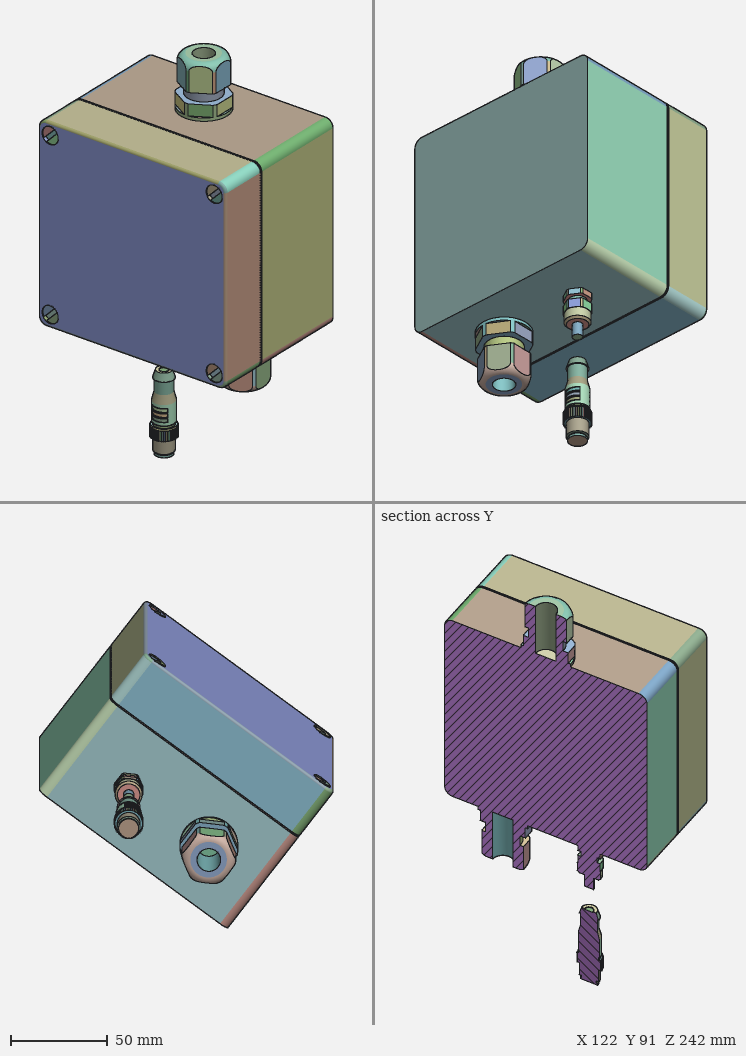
import cadquery as cq
import math


OVERALL_HEIGHT = 242.0
HALF_HEXAGON_ANGLE = 30

BOX_WIDTH = 122.0
BOX_DEPTH = 91.0
BOX_HEIGHT = 120.0
CORNER_RADIUS = 5.0
FRONT_EDGE_RADIUS = 1.5
COVER_DEPTH = 30.0
SEAM_WIDTH = 0.7
SEAM_DEPTH = 0.5

SCREW_SPACING_X = 106.5
SCREW_SPACING_Z = 104.5
SCREW_DIAMETER = 10.5
SCREW_RECESS = 0.7
SLOT_WIDTH = 2.5
SLOT_DEPTH = 1.7
SLOT_ANGLE = 45

FITTING_FROM_BACK = 30.0
FITTING_Y = BOX_DEPTH / 2 - FITTING_FROM_BACK
FITTING_OFFSET_X = 26.0

FLANGE_DIAMETER = 30.0
FLANGE_TOP = 2.0
COLLAR_FLATS = 27.0
COLLAR_TOP = 9.0
NECK_DIAMETER = 21.0
NECK_TOP = 15.0
NUT_FLATS = 25.2
NUT_CORNERS = 28.0
NUT_ROUNDING = 4.5
GLAND_LENGTH = 32.0
GLAND_BORE = 12.0

SOCKET_FLATS = 13.5
SOCKET_CORNERS = 15.0
SOCKET_BASE_TOP = 3.5
SOCKET_NECK_DIAMETER = 10.0
SOCKET_NECK_TOP = 6.3
SOCKET_NUT_TOP = 11.5
SOCKET_CAP_DIAMETER = 14.0
SOCKET_CAP_TOP = 18.2
SOCKET_CAP_CHAMFER = 1.2
STEM_DIAMETER = 5.5
SOCKET_LENGTH = 26.0

PLUG_LENGTH = 49.1
PLUG_BOTTOM = BOX_HEIGHT / 2 + GLAND_LENGTH - OVERALL_HEIGHT
TIP_DIAMETER = 10.5
TIP_TOP = 1.5
TIP_GROOVE_DIAMETER = 9.0
TIP_GROOVE_TOP = 2.5
SLEEVE_DIAMETER = 11.9
SLEEVE_TOP = 10.6
RING_DIAMETER = 15.0
RING_TOP = 16.7
SHOULDER_DIAMETER = 14.0
SHOULDER_TOP = 17.7
WAIST_DIAMETER = 12.0
GRIP_BOTTOM = 19.0
GRIP_DIAMETER = 13.0
GRIP_TOP = 31.5
TAIL_BOTTOM = 36.5
TAIL_DIAMETER = 10.5
BARB_BOTTOM = 44.5
BARB_DIAMETER = 11.9
BARB_END_DIAMETER = 9.0
PLUG_BORE = 5.0
PLUG_BORE_DEPTH = 0.5

KNURL_COUNT = 50
KNURL_DIAMETER = 0.8
WINDOW_COUNT = 3
WINDOW_HEIGHT = 2.2
WINDOW_PITCH = 3.0
WINDOW_DEPTH = 0.5
WINDOW_HALF_ANGLE = 55
FIRST_WINDOW_BOTTOM = 21.3


def cylinder(diameter, bottom, top):
    return cq.Workplane("XY").workplane(offset=bottom).circle(diameter / 2).extrude(top - bottom)


def trimmed_hexagon(flats, corners, bottom, top, rounding=0):
    """Hexagon with corners on +Y and -Y, trimmed by a cylinder that may be rounded at its top edge."""
    full_corners = flats / math.cos(math.radians(HALF_HEXAGON_ANGLE))
    hexagon = (
        cq.Workplane("XY")
        .workplane(offset=bottom)
        .transformed(rotate=(0, 0, HALF_HEXAGON_ANGLE))
        .polygon(6, full_corners)
        .extrude(top - bottom)
    )
    trim = cylinder(corners, bottom, top)
    if rounding:
        trim = trim.faces(">Z").edges().fillet(rounding)
    return hexagon.intersect(trim)


def make_box():
    box = cq.Workplane("XY").box(BOX_WIDTH, BOX_DEPTH, BOX_HEIGHT)
    box = box.edges("|Y").fillet(CORNER_RADIUS)
    return box.faces("<Y").edges().fillet(FRONT_EDGE_RADIUS)


def make_seam():
    """Shallow band that is cut around the housing between base and cover."""
    band = (
        cq.Workplane("XY")
        .box(BOX_WIDTH, SEAM_WIDTH, BOX_HEIGHT)
        .edges("|Y")
        .fillet(CORNER_RADIUS)
    )
    core = (
        cq.Workplane("XY")
        .box(BOX_WIDTH - 2 * SEAM_DEPTH, SEAM_WIDTH, BOX_HEIGHT - 2 * SEAM_DEPTH)
        .edges("|Y")
        .fillet(CORNER_RADIUS - SEAM_DEPTH)
    )
    return band.cut(core).translate((0, COVER_DEPTH - BOX_DEPTH / 2, 0))


def make_screw_recess():
    """Round recess down to a screw head, with the driver slot in that head, along +Y from Y = 0."""
    recess = cq.Workplane("XZ").circle(SCREW_DIAMETER / 2).extrude(-SCREW_RECESS)
    disc = cq.Workplane("XZ").circle(SCREW_DIAMETER / 2).extrude(-SCREW_RECESS - SLOT_DEPTH)
    slot = (
        cq.Workplane("XZ")
        .transformed(rotate=(0, 0, SLOT_ANGLE))
        .rect(2 * SCREW_DIAMETER, SLOT_WIDTH)
        .extrude(-SCREW_RECESS - SLOT_DEPTH)
    )
    return recess.union(disc.intersect(slot))


def make_gland():
    """Cable gland that stands on Z = 0 and points along +Z."""
    flange = cylinder(FLANGE_DIAMETER, 0, FLANGE_TOP)
    collar = trimmed_hexagon(COLLAR_FLATS, FLANGE_DIAMETER, FLANGE_TOP, COLLAR_TOP)
    neck = cylinder(NECK_DIAMETER, COLLAR_TOP, NECK_TOP)
    nut = trimmed_hexagon(NUT_FLATS, NUT_CORNERS, NECK_TOP, GLAND_LENGTH, NUT_ROUNDING)
    bore = cylinder(GLAND_BORE, 0, GLAND_LENGTH)
    return flange.union(collar).union(neck).union(nut).cut(bore)


def make_socket():
    """Small socket that stands on Z = 0 and points along +Z."""
    base = trimmed_hexagon(SOCKET_FLATS, SOCKET_CORNERS, 0, SOCKET_BASE_TOP)
    neck = cylinder(SOCKET_NECK_DIAMETER, SOCKET_BASE_TOP, SOCKET_NECK_TOP)
    nut = trimmed_hexagon(SOCKET_FLATS, SOCKET_CORNERS, SOCKET_NECK_TOP, SOCKET_NUT_TOP)
    cap = cylinder(SOCKET_CAP_DIAMETER, SOCKET_NUT_TOP, SOCKET_CAP_TOP)
    cap = cap.faces(">Z").edges().chamfer(SOCKET_CAP_CHAMFER)
    stem = cylinder(STEM_DIAMETER, SOCKET_CAP_TOP, SOCKET_LENGTH)
    return base.union(neck).union(nut).union(cap).union(stem)


def point_down(fitting):
    return fitting.rotate((0, 0, 0), (1, 0, 0), 180)


def make_housing():
    """Closed housing in one piece with its two glands and its socket."""
    housing = make_box().cut(make_seam())
    recess = make_screw_recess()
    for side_x in (-1, 1):
        for side_z in (-1, 1):
            screw_place = (side_x * SCREW_SPACING_X / 2, -BOX_DEPTH / 2, side_z * SCREW_SPACING_Z / 2)
            housing = housing.cut(recess.translate(screw_place))
    wall_z = BOX_HEIGHT / 2
    gland = make_gland()
    housing = housing.union(gland.translate((0, FITTING_Y, wall_z)))
    housing = housing.union(point_down(gland).translate((FITTING_OFFSET_X, FITTING_Y, -wall_z)))
    return housing.union(point_down(make_socket()).translate((-FITTING_OFFSET_X, FITTING_Y, -wall_z)))


def make_plug_core():
    """Turned shape of the plug, given as radius and height along its axis."""
    profile = [
        (0, 0),
        (TIP_DIAMETER / 2, 0),
        (TIP_DIAMETER / 2, TIP_TOP),
        (TIP_GROOVE_DIAMETER / 2, TIP_TOP),
        (TIP_GROOVE_DIAMETER / 2, TIP_GROOVE_TOP),
        (SLEEVE_DIAMETER / 2, TIP_GROOVE_TOP),
        (SLEEVE_DIAMETER / 2, SLEEVE_TOP),
        (RING_DIAMETER / 2, SLEEVE_TOP),
        (RING_DIAMETER / 2, RING_TOP),
        (SHOULDER_DIAMETER / 2, SHOULDER_TOP),
        (WAIST_DIAMETER / 2, SHOULDER_TOP),
        (WAIST_DIAMETER / 2, GRIP_BOTTOM),
        (GRIP_DIAMETER / 2, GRIP_BOTTOM),
        (GRIP_DIAMETER / 2, GRIP_TOP),
        (TAIL_DIAMETER / 2, TAIL_BOTTOM),
        (TAIL_DIAMETER / 2, BARB_BOTTOM),
        (BARB_DIAMETER / 2, BARB_BOTTOM),
        (BARB_END_DIAMETER / 2, PLUG_LENGTH),
        (0, PLUG_LENGTH),
    ]
    return cq.Workplane("XZ").polyline(profile).close().revolve(360, (0, 0, 0), (0, 1, 0))


def make_knurl():
    """Fine round grooves along the grip ring."""
    return (
        cq.Workplane("XY")
        .workplane(offset=SLEEVE_TOP)
        .polarArray(RING_DIAMETER / 2, 0, 360, KNURL_COUNT)
        .circle(KNURL_DIAMETER / 2)
        .extrude(RING_TOP - SLEEVE_TOP)
    )


def make_window():
    """Shallow curved window on the -Y side of the grip, standing on Z = 0."""
    outer = GRIP_DIAMETER / 2
    inner = outer - WINDOW_DEPTH
    section = (
        cq.Workplane("XZ")
        .moveTo(inner, 0)
        .lineTo(outer, 0)
        .lineTo(outer, WINDOW_HEIGHT)
        .lineTo(inner, WINDOW_HEIGHT)
        .close()
    )
    window = section.revolve(2 * WINDOW_HALF_ANGLE, (0, 0, 0), (0, 1, 0))
    middle = window.val().Center()
    middle_angle = math.degrees(math.atan2(middle.y, middle.x))
    return window.rotate((0, 0, 0), (0, 0, 1), -90 - middle_angle)


def make_plug():
    plug = make_plug_core().cut(make_knurl())
    plug = plug.cut(cylinder(PLUG_BORE, PLUG_LENGTH - PLUG_BORE_DEPTH, PLUG_LENGTH))
    window = make_window()
    for index in range(WINDOW_COUNT):
        level = FIRST_WINDOW_BOTTOM + index * WINDOW_PITCH
        for turn in (0, 180):
            placed = window.rotate((0, 0, 0), (0, 0, 1), turn)
            plug = plug.cut(placed.translate((0, 0, level)))
    return plug.translate((-FITTING_OFFSET_X, FITTING_Y, PLUG_BOTTOM))


housing = make_housing()
plug = make_plug()
result = cq.Compound.makeCompound([housing.val(), plug.val()])